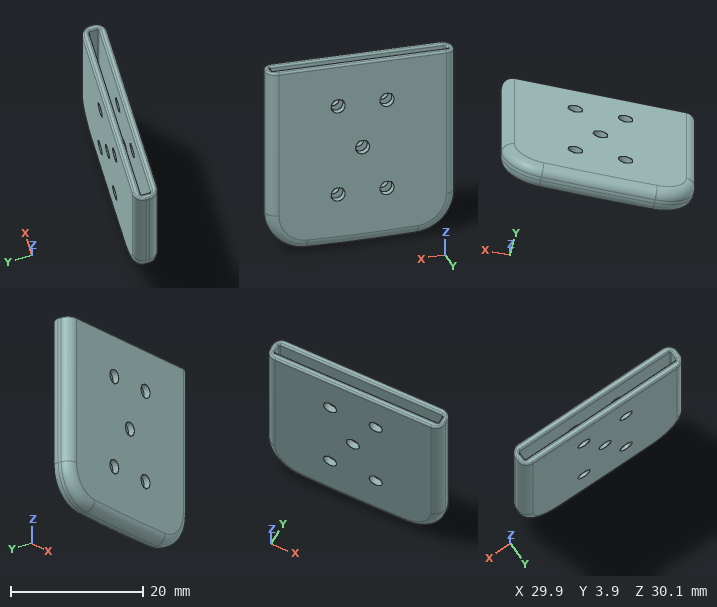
import cadquery as cq
import math

width = 29.92
thickness = 3.9
height = 30.13
corner_radius = 6.33
bow_radius = 295.27
edge_radius = 1.65

cavity_thickness = 1.63
wall = 0.95
cavity_corner_radius = 4.37
cavity_edge_radius = 0.2

lip_radius = 0.3

hole_diameter = 2.2
hole_offset_x = 3.9
hole_offset_z = 7.32
hole_centre_z = 16.03


def make_body():
    """Plate with bowed bottom and large corners, rounded all around except at the top."""
    half_width = width / 2
    corner_x = half_width - corner_radius
    reach = bow_radius - corner_radius
    corner_z = bow_radius - math.sqrt(reach**2 - corner_x**2)

    bow_angle = math.asin(corner_x / reach)
    tangent_x = bow_radius * math.sin(bow_angle)
    tangent_z = bow_radius * (1 - math.cos(bow_angle))
    middle_angle = (math.pi / 2 + bow_angle) / 2
    middle_x = corner_x + corner_radius * math.sin(middle_angle)
    middle_z = corner_z - corner_radius * math.cos(middle_angle)

    return (
        cq.Workplane("XZ")
        .moveTo(-half_width, height)
        .lineTo(-half_width, corner_z)
        .threePointArc((-middle_x, middle_z), (-tangent_x, tangent_z))
        .threePointArc((0, 0), (tangent_x, tangent_z))
        .threePointArc((middle_x, middle_z), (half_width, corner_z))
        .lineTo(half_width, height)
        .close()
        .extrude(thickness / 2, both=True)
        .faces("<Y or >Y")
        .edges("not >Z")
        .fillet(edge_radius)
    )


def make_cavity():
    """Pocket that opens at the top, with rounded corners and edges."""
    depth = height - wall
    return (
        cq.Workplane("XY")
        .box(width - 2 * wall, cavity_thickness, depth, centered=(True, True, False))
        .translate((0, 0, wall))
        .edges("|Y and <Z")
        .fillet(cavity_corner_radius)
        .faces("<Y or >Y")
        .edges("not >Z")
        .fillet(cavity_edge_radius)
    )


def make_holes():
    """Five holes through both walls."""
    centres = [(0, hole_centre_z)]
    for side in (-1, 1):
        for level in (-1, 1):
            centres.append((side * hole_offset_x, hole_centre_z + level * hole_offset_z))
    return (
        cq.Workplane("XZ")
        .pushPoints(centres)
        .circle(hole_diameter / 2)
        .extrude(thickness, both=True)
    )


shell = make_body().cut(make_cavity())
rounded_shell = shell.faces(">Z").edges().fillet(lip_radius)
result = rounded_shell.cut(make_holes())